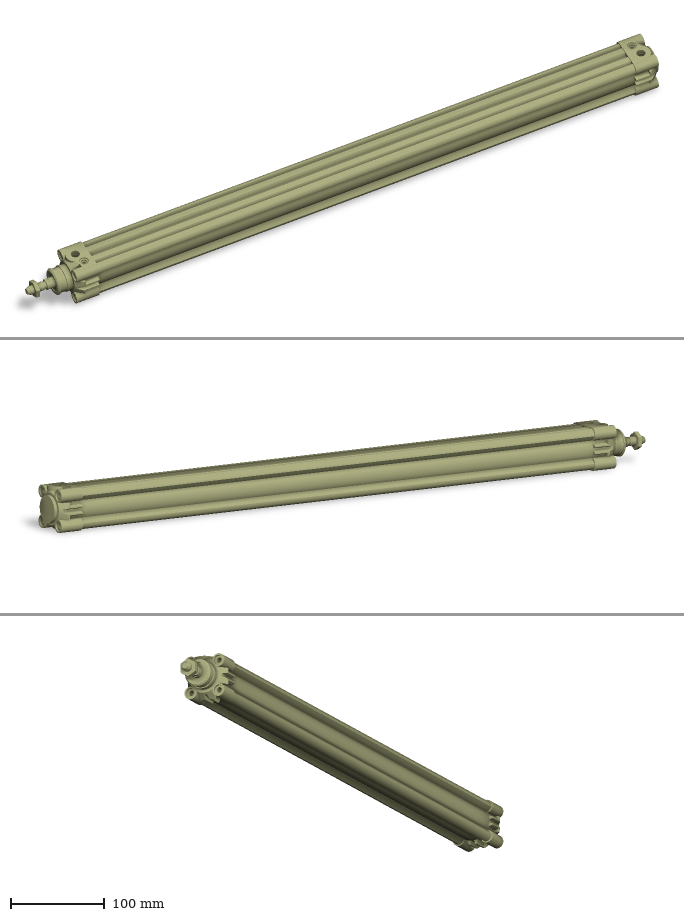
import cadquery as cq
import math


total_length = 746.0
rear_spigot_length = 4.0
cap_length = 27.0
neck_length = 18.0
rod_reach = 26.0
thread_length = 22.5

rear_end = total_length / 2
rear_face = rear_end - rear_spigot_length
barrel_rear = rear_face - cap_length
thread_tip = -total_length / 2
shoulder = thread_tip + thread_length
front_face = shoulder + rod_reach
barrel_front = front_face + cap_length

cap_size = 47.0
barrel_size = 45.0
screw_spacing = 33.0
screw_offset = screw_spacing / 2
spigot_diameter = 30.0

tube_diameter = 39.0
flute_half_width = 15.0
middle_slot_mouth = 7.5
middle_slot_floor = 3.0
side_slot_mouth = 4.5
side_slot_floor = 1.0
side_slot_offset = 13.0
slot_depth = 4.0

lobe_radius = cap_size / 2 - screw_offset
cone_outer_radius = 18.0
cone_inner_radius = 25.0
cone_length = 10.5
cone_half_width = 9.0
channel_depth = 4.1
channel_mouth_width = 6.0
channel_floor_width = 3.0
pad_length = 16.5
pad_top = 4.5
pad_outer = 6.0
port_plate_width = 35.0
port_boss_diameter = 22.0
port_offset = 6.0
port_setback = 14.0
port_diameter = 10.0
port_depth = 5.0
port_bore_diameter = 8.0
port_bore_depth = 9.0
cushion_offset = 7.5
cushion_setback = 10.5
cushion_rim_diameter = 10.5
cushion_rim_depth = 1.5
cushion_diameter = 7.0
cushion_depth = 3.0
cushion_socket_diameter = 3.5
cushion_socket_depth = 4.5
screw_recess_diameter = 10.5
screw_recess_depth = 2.0
screw_hole_diameter = 6.0
screw_hole_depth = 10.5

neck_root_diameter = 29.0
neck_root_length = 4.5
neck_ring_end = 7.0
neck_waist_diameter = 27.5
neck_waist_end = 15.0
neck_chamfer = 1.5
seal_recess_diameter = 22.0
seal_recess_depth = 1.5

rod_diameter = 12.0
wrench_flats = 10.5
wrench_flat_length = 4.0
thread_diameter = 10.0
relief_diameter = 8.0
relief_length = 3.0
thread_chamfer_length = 4.0
thread_chamfer_depth = 1.5
nut_across_flats = 17.0
nut_thickness = 4.5
nut_setback = 7.5
nut_front = thread_tip + nut_setback


def cylinder(diameter, y_start, y_end):
    """Round bar on the cylinder axis, from y_start to the smaller y_end."""
    plane = cq.Workplane("XZ", origin=(0, y_start, 0))
    return plane.circle(diameter / 2).extrude(y_start - y_end)


def box(x_range, y_range, z_range):
    """Box between the given low and high coordinates."""
    sizes = [high - low for low, high in (x_range, y_range, z_range)]
    corner = (x_range[0], y_range[0], z_range[0])
    return cq.Workplane("XY").box(*sizes, centered=False).translate(corner)


def around_axis(shape, angle):
    return shape.rotate((0, 0, 0), (0, 1, 0), angle)


def groove(start, length, mouth, floor, surface_height, depth):
    """Tapered groove cutter along Y, centred on X = 0 and open toward +Z."""
    return (
        start.moveTo(-mouth / 2, surface_height)
        .lineTo(mouth / 2, surface_height)
        .lineTo(floor / 2, surface_height - depth)
        .lineTo(-floor / 2, surface_height - depth)
        .close()
        .extrude(length)
    )


def build_barrel():
    length = barrel_rear - barrel_front
    half = barrel_size / 2
    start = cq.Workplane("XZ", origin=(0, barrel_rear, 0))
    barrel = start.rect(barrel_size, barrel_size).extrude(length)
    barrel = barrel.edges("|Y").fillet(half - flute_half_width)

    flute = (
        start.moveTo(-flute_half_width, half)
        .lineTo(flute_half_width, half)
        .lineTo(0, half - flute_half_width)
        .close()
        .extrude(length)
        .cut(cylinder(tube_diameter, barrel_rear, barrel_front))
    )
    for angle in (90, 180, 270):
        barrel = barrel.cut(around_axis(flute, angle))

    barrel = barrel.cut(groove(start, length, middle_slot_mouth, middle_slot_floor, half, slot_depth))
    side_slot = groove(start, length, side_slot_mouth, side_slot_floor, half, slot_depth)
    for side in (-1, 1):
        barrel = barrel.cut(side_slot.translate((side * side_slot_offset, 0, 0)))
    return barrel


def build_cap_cone():
    """Cone that rises from the outer face toward the barrel, kept between the lobes."""
    half = cap_size / 2
    cone_end = rear_face - cone_length
    profile = [
        (0, rear_face),
        (cone_outer_radius, rear_face),
        (cone_inner_radius, cone_end),
        (0, cone_end),
    ]
    cone = cq.Workplane("XY").polyline(profile).close().revolve(360, (0, 0, 0), (0, 1, 0))
    bar = box((-half, half), (cone_end, rear_face), (-cone_half_width, cone_half_width))
    return cone.intersect(bar.union(around_axis(bar, 90)))


def build_cap():
    """Rear cap; its outer face is at rear_face and its barrel end at barrel_rear."""
    half = cap_size / 2
    pad_end = barrel_rear + pad_length
    core = cylinder(2 * cone_outer_radius, rear_face, rear_face - cone_length)
    cap = core.union(cylinder(tube_diameter, rear_face - cone_length, barrel_rear))
    cap = cap.union(build_cap_cone())

    corners = [(x * screw_offset, z * screw_offset) for x in (-1, 1) for z in (-1, 1)]
    start = cq.Workplane("XZ", origin=(0, rear_face, 0))
    cap = cap.union(start.pushPoints(corners).circle(lobe_radius).extrude(cap_length))

    channel_floor = half - channel_depth
    channel = groove(start, cap_length, channel_mouth_width, channel_floor_width, half, channel_depth)
    pad = (
        cq.Workplane("XZ", origin=(0, pad_end, 0))
        .moveTo(0, 0)
        .lineTo(0, half)
        .lineTo(pad_top, half)
        .lineTo(pad_outer, channel_floor)
        .lineTo(pad_outer, 0)
        .close()
        .extrude(pad_length)
    )
    pads = pad.union(pad.mirror("YZ"))
    for angle in (90, 180, 270):
        cap = cap.union(around_axis(pads, angle)).cut(around_axis(channel, angle))

    plate_half = port_plate_width / 2
    cap = cap.union(box((-plate_half, plate_half), (barrel_rear, pad_end), (0, half)))
    top = cq.Workplane("XY", origin=(0, barrel_rear, half))
    port = top.center(port_offset, port_setback)
    cap = cap.union(port.circle(port_boss_diameter / 2).extrude(screw_offset - half))
    cap = cap.cut(port.circle(port_diameter / 2).extrude(-port_depth))
    cap = cap.cut(port.circle(port_bore_diameter / 2).extrude(-port_bore_depth))
    cushion = top.center(-cushion_offset, cushion_setback)
    cap = cap.cut(cushion.circle(cushion_rim_diameter / 2).extrude(-cushion_rim_depth))
    cap = cap.cut(cushion.circle(cushion_diameter / 2).extrude(-cushion_depth))
    cap = cap.cut(cushion.circle(cushion_socket_diameter / 2).extrude(-cushion_socket_depth))

    cap = cap.cut(start.pushPoints(corners).circle(screw_recess_diameter / 2).extrude(screw_recess_depth))
    cap = cap.cut(start.pushPoints(corners).circle(screw_hole_diameter / 2).extrude(screw_hole_depth))
    return cap


def build_rear_cap():
    return build_cap().union(cylinder(spigot_diameter, rear_end, rear_face))


def build_front_cap():
    cap = build_cap().rotate((0, 0, 0), (0, 0, 1), 180)
    cap = cap.translate((0, front_face + rear_face, 0))
    neck_tip = front_face - neck_length
    ring_end = front_face - neck_ring_end
    waist_end = front_face - neck_waist_end
    lip = cylinder(spigot_diameter, waist_end, neck_tip).faces("<Y").edges().chamfer(neck_chamfer)
    cap = cap.union(cylinder(neck_root_diameter, front_face, front_face - neck_root_length))
    cap = cap.union(cylinder(spigot_diameter, front_face - neck_root_length, ring_end))
    cap = cap.union(cylinder(neck_waist_diameter, ring_end, waist_end))
    cap = cap.union(lip)
    cap = cap.cut(cylinder(seal_recess_diameter, neck_tip + seal_recess_depth, neck_tip))
    return cap.cut(cylinder(rod_diameter, barrel_front, neck_tip))


def build_rod():
    rod = cylinder(rod_diameter, barrel_front, shoulder)
    flat_range = (shoulder, shoulder + wrench_flat_length)
    radius = rod_diameter / 2
    for z_range in ((wrench_flats / 2, radius), (-radius, -wrench_flats / 2)):
        rod = rod.cut(box((-radius, radius), flat_range, z_range))
    relief_end = shoulder - relief_length
    thread = cylinder(thread_diameter, relief_end, thread_tip)
    thread = thread.faces("<Y").edges().chamfer(thread_chamfer_length, thread_chamfer_depth)
    return rod.union(cylinder(relief_diameter, shoulder, relief_end)).union(thread)


def build_nut():
    across_corners = nut_across_flats / math.cos(math.pi / 6)
    plane = cq.Workplane("XZ", origin=(0, nut_front + nut_thickness, 0))
    nut = plane.polygon(6, across_corners).extrude(nut_thickness)
    nut = around_axis(nut, 90)
    return nut.cut(cylinder(thread_diameter, nut_front + nut_thickness, nut_front))


barrel = build_barrel()
rear_cap = build_rear_cap()
front_cap = build_front_cap()
rod = build_rod()
nut = build_nut()

result = cq.Compound.makeCompound(
    [barrel.val(), rear_cap.val(), front_cap.val(), rod.val(), nut.val()]
)